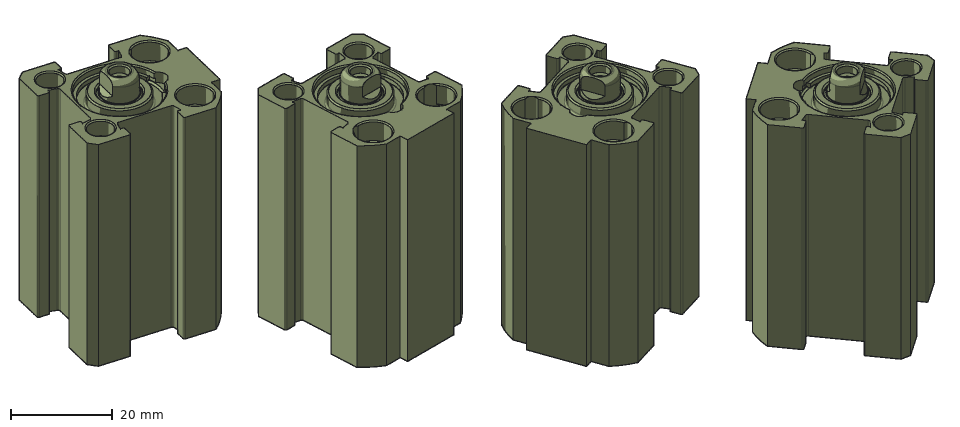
import cadquery as cq
import math


TOTAL_HEIGHT = 56.5
HOUSING_HEIGHT = 52.0
HALF_WIDTH = 30.0 / 2
FRONT_Y = -15.05
BACK_Y = 19.0
OVERCUT = 0.05

SHOULDER_Y = 17.0
TAB_HALF_WIDTH = 6.6
SHOULDER_RADIUS = 20.0
FRONT_CHAMFER = 1.65
CORE_HALF_WIDTH = 10.0
SLOT_HALF_WIDTH = 6.0
LIP_THICKNESS = 2.75
LIP_FILLET = 0.35
FLOOR_FILLET = 0.5
SLOT_ANGLES = (0, 90, -90)
UNDERCUT_AT_FLOOR = 6.3
UNDERCUT_AT_LIP = 6.85

BOLT_OFFSET = 10.0
BOLT_HOLE_DIAMETER = 3.7
FRONT_BORE_DIAMETER = 5.6
FRONT_BORE_DEPTH = 3.7
BACK_BORE_X = 9.0
BACK_BORE_Y = 12.0
BACK_BORE_DIAMETER = 7.5
BACK_BORE_DEPTH = 4.65
BACK_HOLE_DIAMETER = 4.8
BORE_CHAMFER = 0.3

MOUTH_DIAMETER = 19.0
UPPER_BORE_DIAMETER = 18.4
COLLAR_BORE_DIAMETER = 17.9
MOUTH_CHAMFER = (MOUTH_DIAMETER - UPPER_BORE_DIAMETER) / 2
LEAD_IN_CHAMFER = 0.4
LEAD_IN_DIAMETER = COLLAR_BORE_DIAMETER + 2 * LEAD_IN_CHAMFER
NOTCH_DIAMETER = 4.1
NOTCH_Y = 8.65
RING_TOP_DEPTH = 1.45
RING_THICKNESS = 1.0
RING_TOP_Z = HOUSING_HEIGHT - RING_TOP_DEPTH
RING_BOTTOM_Z = RING_TOP_Z - RING_THICKNESS

RING_OUTER_DIAMETER = 19.0
RING_INNER_DIAMETER = 16.95
RING_GAP_HALF_ANGLE = 21.5

FLANGE_TOP_Z = RING_BOTTOM_Z - LEAD_IN_CHAMFER
FLANGE_THICKNESS = 4.5
COLLAR_BOTTOM_Z = FLANGE_TOP_Z - FLANGE_THICKNESS
BOSS_DIAMETER = 13.2
BOSS_TOP_DEPTH = 0.3
BOSS_TOP_Z = HOUSING_HEIGHT - BOSS_TOP_DEPTH
BOSS_CHAMFER = 0.35
BOSS_FILLET = 0.4
SEAL_SEAT_DIAMETER = 9.2
SEAL_SEAT_CHAMFER = 0.35
SEAL_HEIGHT = 2.25

SEAL_TOP_DIAMETER = 8.4
SEAL_BEVEL = (SEAL_SEAT_DIAMETER - SEAL_TOP_DIAMETER) / 2
SEAL_TOP_Z = BOSS_TOP_Z - SEAL_SEAT_CHAMFER

ROD_DIAMETER = 8.0
ROD_FILLET = 1.3
FLAT_HALF_WIDTH = 3.05
FLAT_BOTTOM_Z = 52.95
THREAD_MOUTH_DIAMETER = 4.75
THREAD_DIAMETER = 4.1
THREAD_DEPTH = 1.9
DRILL_DIAMETER = 3.2
DRILL_DEPTH = 5.65
DRILL_POINT_ANGLE = 118.0


def cylinder(diameter, bottom_z, top_z, x=0.0, y=0.0):
    return (
        cq.Workplane("XY", origin=(x, y, bottom_z))
        .circle(diameter / 2)
        .extrude(top_z - bottom_z)
    )


def cone(bottom_diameter, top_diameter, bottom_z, top_z, x=0.0, y=0.0):
    solid = cq.Solid.makeCone(
        bottom_diameter / 2, top_diameter / 2, top_z - bottom_z, cq.Vector(x, y, bottom_z)
    )
    return cq.Workplane(obj=solid)


def housing_blank():
    shoulder_x = math.sqrt(SHOULDER_RADIUS**2 - SHOULDER_Y**2)
    side_y = math.sqrt(SHOULDER_RADIUS**2 - HALF_WIDTH**2)
    middle = SHOULDER_RADIUS / math.sqrt(2)
    return (
        cq.Workplane("XY")
        .moveTo(-TAB_HALF_WIDTH, BACK_Y)
        .lineTo(TAB_HALF_WIDTH, BACK_Y)
        .lineTo(TAB_HALF_WIDTH, SHOULDER_Y)
        .lineTo(shoulder_x, SHOULDER_Y)
        .threePointArc((middle, middle), (HALF_WIDTH, side_y))
        .lineTo(HALF_WIDTH, FRONT_Y + FRONT_CHAMFER)
        .lineTo(HALF_WIDTH - FRONT_CHAMFER, FRONT_Y)
        .lineTo(FRONT_CHAMFER - HALF_WIDTH, FRONT_Y)
        .lineTo(-HALF_WIDTH, FRONT_Y + FRONT_CHAMFER)
        .lineTo(-HALF_WIDTH, side_y)
        .threePointArc((-middle, middle), (-shoulder_x, SHOULDER_Y))
        .lineTo(-TAB_HALF_WIDTH, SHOULDER_Y)
        .close()
        .extrude(HOUSING_HEIGHT)
    )


def slot(angle):
    """A full-height undercut slot in the -Y face, turned about the rod axis."""
    face = HALF_WIDTH + OVERCUT
    behind_lip = HALF_WIDTH - LIP_THICKNESS
    right_side = [
        (UNDERCUT_AT_FLOOR, -CORE_HALF_WIDTH),
        (UNDERCUT_AT_LIP, -behind_lip),
        (SLOT_HALF_WIDTH, -behind_lip),
        (SLOT_HALF_WIDTH, -face),
    ]
    left_side = [(-x, y) for x, y in reversed(right_side)]
    return (
        cq.Workplane("XY")
        .polyline(right_side + left_side)
        .close()
        .extrude(HOUSING_HEIGHT)
        .edges("|Z and >Y")
        .fillet(FLOOR_FILLET)
        .rotate((0, 0, 0), (0, 0, 1), angle)
    )


def lip_corners(angle):
    """Points on the lip edges, inner and outer, of the slot turned by the given angle."""
    turn = math.radians(angle)
    points = []
    for x in (-SLOT_HALF_WIDTH, SLOT_HALF_WIDTH):
        for y in (-HALF_WIDTH, LIP_THICKNESS - HALF_WIDTH):
            turned_x = x * math.cos(turn) - y * math.sin(turn)
            turned_y = x * math.sin(turn) + y * math.cos(turn)
            points.append((turned_x, turned_y, HOUSING_HEIGHT / 2))
    return points


def round_slot_lips(body):
    edges = []
    for angle in SLOT_ANGLES:
        for point in lip_corners(angle):
            edges.append(body.edges(cq.selectors.NearestToPointSelector(point)).val())
    return body.newObject(edges).fillet(LIP_FILLET)


def counterbore(x, y, diameter, depth):
    """A counterbore in the housing's top face, with a chamfered mouth."""
    bore = cylinder(diameter, HOUSING_HEIGHT - depth, HOUSING_HEIGHT, x, y)
    mouth = cone(
        diameter, diameter + 2 * BORE_CHAMFER,
        HOUSING_HEIGHT - BORE_CHAMFER, HOUSING_HEIGHT, x, y,
    )
    return bore.union(mouth)


def mounting_holes(side):
    """The holes on one side of the housing: side is -1 or 1 along X."""
    front = cylinder(BOLT_HOLE_DIAMETER, 0, HOUSING_HEIGHT, side * BOLT_OFFSET, -BOLT_OFFSET)
    front_bore = counterbore(side * BOLT_OFFSET, -BOLT_OFFSET, FRONT_BORE_DIAMETER, FRONT_BORE_DEPTH)
    back = cylinder(BOLT_HOLE_DIAMETER, 0, HOUSING_HEIGHT, side * BOLT_OFFSET, BOLT_OFFSET)
    back_offset = cylinder(BACK_HOLE_DIAMETER, 0, HOUSING_HEIGHT, side * BACK_BORE_X, BACK_BORE_Y)
    back_bore = counterbore(side * BACK_BORE_X, BACK_BORE_Y, BACK_BORE_DIAMETER, BACK_BORE_DEPTH)
    return [front, front_bore, back, back_offset, back_bore]


def ring_and_collar_bore():
    """The stepped cavity around the rod axis, from the top face down to the collar's seat."""
    mouth_bottom_z = HOUSING_HEIGHT - MOUTH_CHAMFER
    mouth = cone(UPPER_BORE_DIAMETER, MOUTH_DIAMETER, mouth_bottom_z, HOUSING_HEIGHT)
    upper_bore = cylinder(UPPER_BORE_DIAMETER, RING_TOP_Z, HOUSING_HEIGHT)
    groove = cylinder(RING_OUTER_DIAMETER, RING_BOTTOM_Z, RING_TOP_Z)
    lead_in = cone(COLLAR_BORE_DIAMETER, LEAD_IN_DIAMETER, FLANGE_TOP_Z, RING_BOTTOM_Z)
    collar_bore = cylinder(COLLAR_BORE_DIAMETER, COLLAR_BOTTOM_Z, FLANGE_TOP_Z)
    notch = cylinder(NOTCH_DIAMETER, RING_BOTTOM_Z, HOUSING_HEIGHT, y=NOTCH_Y)
    return [mouth, upper_bore, groove, lead_in, collar_bore, notch]


def make_housing():
    body = housing_blank()
    for angle in SLOT_ANGLES:
        body = body.cut(slot(angle))
    body = round_slot_lips(body)
    for side in (-1, 1):
        for hole in mounting_holes(side):
            body = body.cut(hole)
    for cavity in ring_and_collar_bore():
        body = body.cut(cavity)
    return body


def make_collar():
    """A flange and boss turned about the rod axis, bored for the rod and its seal."""
    flange_radius = COLLAR_BORE_DIAMETER / 2
    boss_radius = BOSS_DIAMETER / 2
    collar = (
        cq.Workplane("XZ")
        .moveTo(0, COLLAR_BOTTOM_Z)
        .lineTo(flange_radius, COLLAR_BOTTOM_Z)
        .lineTo(flange_radius, FLANGE_TOP_Z)
        .lineTo(boss_radius + BOSS_FILLET, FLANGE_TOP_Z)
        .radiusArc((boss_radius, FLANGE_TOP_Z + BOSS_FILLET), BOSS_FILLET)
        .lineTo(boss_radius, BOSS_TOP_Z - BOSS_CHAMFER)
        .lineTo(boss_radius - BOSS_CHAMFER, BOSS_TOP_Z)
        .lineTo(0, BOSS_TOP_Z)
        .close()
        .revolve(360, (0, 0, 0), (0, 1, 0))
    )
    rod_hole = cylinder(ROD_DIAMETER, COLLAR_BOTTOM_Z, BOSS_TOP_Z)
    seal_seat = cylinder(SEAL_SEAT_DIAMETER, SEAL_TOP_Z - SEAL_HEIGHT, BOSS_TOP_Z)
    seat_mouth = cone(
        SEAL_SEAT_DIAMETER, SEAL_SEAT_DIAMETER + 2 * SEAL_SEAT_CHAMFER,
        BOSS_TOP_Z - SEAL_SEAT_CHAMFER, BOSS_TOP_Z,
    )
    return collar.cut(rod_hole).cut(seal_seat).cut(seat_mouth)


def make_seal():
    blank = cylinder(SEAL_SEAT_DIAMETER, SEAL_TOP_Z - SEAL_HEIGHT, SEAL_TOP_Z)
    blank = blank.faces(">Z").chamfer(SEAL_BEVEL)
    return blank.cut(cylinder(ROD_DIAMETER, SEAL_TOP_Z - SEAL_HEIGHT, SEAL_TOP_Z))


def make_retaining_ring():
    ring = cylinder(RING_OUTER_DIAMETER, RING_BOTTOM_Z, RING_TOP_Z)
    ring = ring.cut(cylinder(RING_INNER_DIAMETER, RING_BOTTOM_Z, RING_TOP_Z))
    reach = RING_OUTER_DIAMETER
    half_gap = reach * math.tan(math.radians(RING_GAP_HALF_ANGLE))
    gap = (
        cq.Workplane("XY", origin=(0, 0, RING_BOTTOM_Z))
        .polyline([(0, 0), (half_gap, reach), (-half_gap, reach)])
        .close()
        .extrude(RING_THICKNESS)
    )
    return ring.cut(gap)


def wrench_flat(side):
    """Material removed for one flat, ending in a 45 degree ramp: side is -1 or 1 along Y."""
    reach = ROD_DIAMETER
    ramp = reach - FLAT_HALF_WIDTH
    return (
        cq.Workplane("YZ", origin=(-reach, 0, 0))
        .moveTo(side * FLAT_HALF_WIDTH, TOTAL_HEIGHT)
        .lineTo(side * FLAT_HALF_WIDTH, FLAT_BOTTOM_Z)
        .lineTo(side * reach, FLAT_BOTTOM_Z - ramp)
        .lineTo(side * reach, TOTAL_HEIGHT)
        .close()
        .extrude(2 * reach)
    )


def threaded_hole():
    """Hole in the rod's end: chamfered mouth, thread, step and drilled tip, turned about the axis."""
    mouth_radius = THREAD_MOUTH_DIAMETER / 2
    thread_radius = THREAD_DIAMETER / 2
    drill_radius = DRILL_DIAMETER / 2
    mouth_bottom_z = TOTAL_HEIGHT - (mouth_radius - thread_radius)
    step_z = TOTAL_HEIGHT - THREAD_DEPTH
    drill_z = TOTAL_HEIGHT - DRILL_DEPTH
    tip_z = drill_z - drill_radius / math.tan(math.radians(DRILL_POINT_ANGLE / 2))
    return (
        cq.Workplane("XZ")
        .moveTo(0, TOTAL_HEIGHT)
        .lineTo(mouth_radius, TOTAL_HEIGHT)
        .lineTo(thread_radius, mouth_bottom_z)
        .lineTo(thread_radius, step_z)
        .lineTo(drill_radius, step_z - (thread_radius - drill_radius))
        .lineTo(drill_radius, drill_z)
        .lineTo(0, tip_z)
        .close()
        .revolve(360, (0, 0, 0), (0, 1, 0))
    )


def make_rod():
    rod = cylinder(ROD_DIAMETER, COLLAR_BOTTOM_Z, TOTAL_HEIGHT).faces(">Z").edges().fillet(ROD_FILLET)
    for side in (-1, 1):
        rod = rod.cut(wrench_flat(side))
    return rod.cut(threaded_hole())


housing = make_housing()
collar = make_collar()
seal = make_seal()
retaining_ring = make_retaining_ring()
rod = make_rod()

result = cq.Compound.makeCompound(
    [housing.val(), collar.val(), seal.val(), retaining_ring.val(), rod.val()]
)